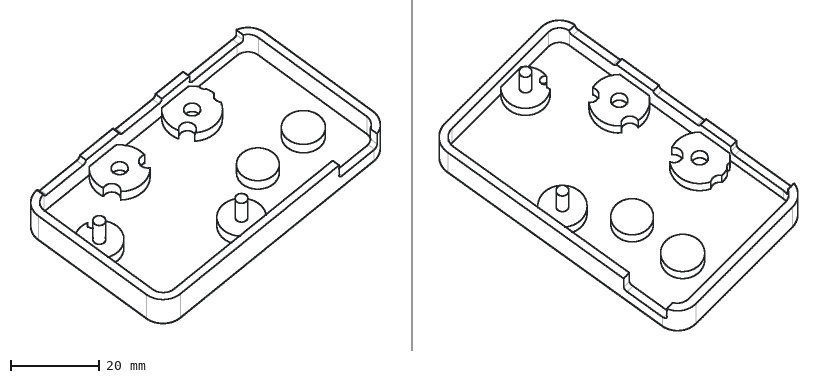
import cadquery as cq

width = 44.8
length = 74.8
rim_height = 8.5
floor_thickness = 2.3
side_wall = 2.0
end_wall = 2.1
corner_radius = 5.45
inner_corner_radius = 3.45

boss_height = 3.0
boss_top = floor_thickness + boss_height
pin_top = 12.0
pin_diameter = 2.9
pin_base_diameter = 11.2
right_pin_position = (15.0, -4.0)
front_pin_position = (-3.9, -31.0)
pad_x = 6.95
rear_pad_y = 25.0
middle_pad_y = 9.95
rear_pad_diameter = 10.0
middle_pad_diameter = 9.7

bored_boss_x = -15.0
rear_bored_boss_y = 11.45
front_bored_boss_y = -12.5
bored_boss_diameter = 13.85
bore_diameter = 3.8

bite_radius = 2.0
large_bites = [(-12.9, 19.2), (-11.8, 6.5), (-11.8, -6.6), (-11.8, -18.5)]
small_bite_radius = 1.1
small_bites = [(-17.95, 18.55), (-8.15, -28.9), (-8.15, -26.85)]

recess_corner_radius = 1.0
left_notch_floor = 5.8
right_notch_floor = 4.0
finger_groove_floor = 7.55
finger_groove_length = 14.0
rear_groove_start = -6.9
front_groove_start = -31.95
left_notch_span = (16.2, 33.5)
right_notch_span = (20.5, 33.2)


def cylinder(position, diameter, bottom, top):
    """Vertical cylinder between two heights."""
    return cq.Workplane("XY", origin=(*position, bottom)).circle(diameter / 2).extrude(top - bottom)


def rounded_block(size_x, size_y, radius, bottom, top):
    """Centred block with rounded vertical corners."""
    block = cq.Workplane("XY", origin=(0, 0, bottom)).rect(size_x, size_y).extrude(top - bottom)
    return block.edges("|Z").fillet(radius)


def rim_recess(side, y_start, y_end, bottom):
    """Cutter for one side wall (side is -1 or 1), with rounded lower corners."""
    depth = side_wall + inner_corner_radius
    cutter_size = (depth, y_end - y_start, pin_top - bottom)
    x_middle = side * (width - depth) / 2
    cutter = cq.Workplane("XY").box(*cutter_size, centered=(True, True, False))
    cutter = cutter.edges("|X and <Z").fillet(recess_corner_radius)
    return cutter.translate((x_middle, (y_start + y_end) / 2, bottom))


def make_tray():
    """Open tray with walls all round."""
    outside = rounded_block(width, length, corner_radius, 0, rim_height)
    cavity = rounded_block(
        width - 2 * side_wall, length - 2 * end_wall, inner_corner_radius, floor_thickness, rim_height
    )
    return outside.cut(cavity)


def make_bosses():
    """Pads, pin bases and bored bosses, with their bores and edge bites."""
    bosses = cylinder((pad_x, rear_pad_y), rear_pad_diameter, floor_thickness, boss_top)
    bosses = bosses.union(cylinder((pad_x, middle_pad_y), middle_pad_diameter, floor_thickness, boss_top))
    for position in (right_pin_position, front_pin_position):
        bosses = bosses.union(cylinder(position, pin_base_diameter, floor_thickness, boss_top))
    for y in (rear_bored_boss_y, front_bored_boss_y):
        position = (bored_boss_x, y)
        boss = cylinder(position, bored_boss_diameter, floor_thickness, boss_top)
        bosses = bosses.union(boss.cut(cylinder(position, bore_diameter, floor_thickness, boss_top)))
    for bites, radius in ((large_bites, bite_radius), (small_bites, small_bite_radius)):
        for position in bites:
            bosses = bosses.cut(cylinder(position, 2 * radius, floor_thickness, boss_top))
    return bosses


result = make_tray()
result = result.cut(rim_recess(-1, *left_notch_span, left_notch_floor))
result = result.cut(rim_recess(1, *right_notch_span, right_notch_floor))
for groove_start in (rear_groove_start, front_groove_start):
    groove_end = groove_start + finger_groove_length
    result = result.cut(rim_recess(-1, groove_start, groove_end, finger_groove_floor))

result = result.union(make_bosses())
for pin_position in (right_pin_position, front_pin_position):
    result = result.union(cylinder(pin_position, pin_diameter, floor_thickness, pin_top))